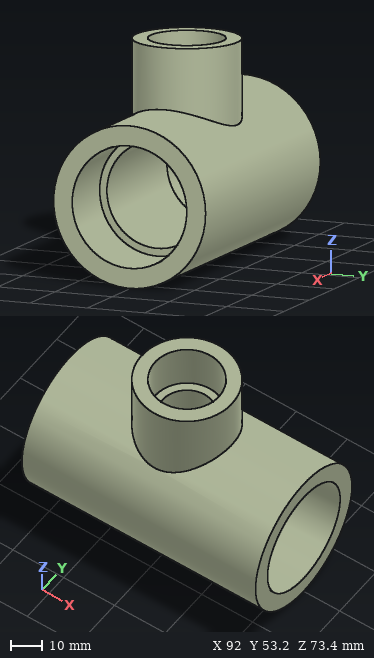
import cadquery as cq

run_length = 92.0
run_diameter = 53.2
run_bore = 35.0
run_socket = 40.0
run_socket_depth = 22.0

overall_height = 73.4
branch_diameter = 35.3
branch_bore = 19.0
branch_socket = 25.0
branch_socket_depth = 16.6
branch_top = overall_height - run_diameter / 2


def run_cylinder(diameter, start, length):
    """Cylinder on the run axis, from X = start towards +X."""
    return cq.Workplane("YZ", origin=(start, 0, 0)).circle(diameter / 2).extrude(length)


def branch_cylinder(diameter, depth):
    """Cylinder on the branch axis, from the branch mouth downwards."""
    return cq.Workplane("XY", origin=(0, 0, branch_top)).circle(diameter / 2).extrude(-depth)


body = run_cylinder(run_diameter, -run_length / 2, run_length)
body = body.union(branch_cylinder(branch_diameter, branch_top))

body = body.cut(run_cylinder(run_bore, -run_length / 2, run_length))
body = body.cut(branch_cylinder(branch_bore, branch_top))

for socket_start in (-run_length / 2, run_length / 2 - run_socket_depth):
    body = body.cut(run_cylinder(run_socket, socket_start, run_socket_depth))
body = body.cut(branch_cylinder(branch_socket, branch_socket_depth))

result = body